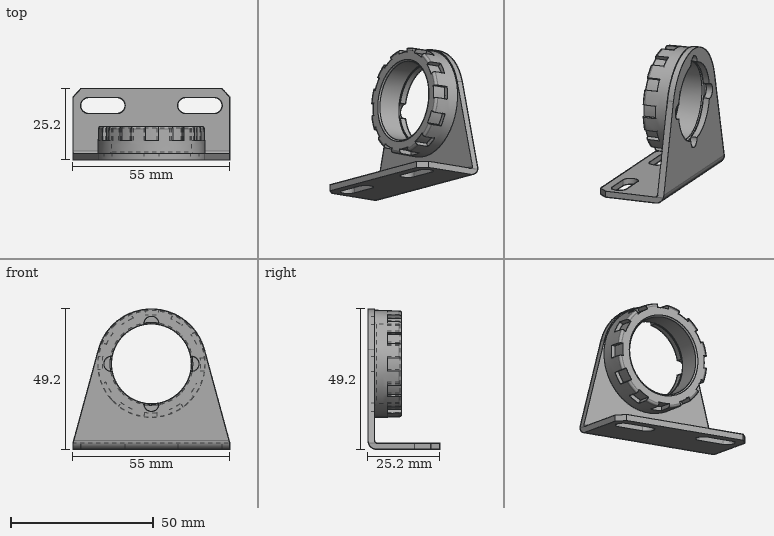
import cadquery as cq
import math

WIDTH = 55.0
DEPTH = 25.2
HEIGHT = 49.2
UPRIGHT_THICKNESS = 2.35
FOOT_THICKNESS = 2.2
BEND_OUTER_RADIUS = 3.1
BEND_INNER_RADIUS = 0.9
CROWN_RADIUS = 19.25
HOLE_RADIUS = 14.0
NOTCH_RADIUS = 2.65
NOTCH_COUNT = 4
SLOT_LENGTH = 15.5
SLOT_WIDTH = 5.5
SLOT_SPACING = 34.0
SLOT_Y = 19.15
CORNER_CUT_X = 2.85
CORNER_CUT_Y = 3.15

RING_END_Y = 11.8
RING_BASE_RADIUS = 18.8
RING_END_RADIUS = 18.65
RING_BORE_RADIUS = 13.95
BORE_CHAMFER = 0.55
RING_FILLET = 0.9
GAP_COUNT = 12
GAP_WIDTH = 4.5
GAP_FLOOR_RADIUS = 17.2
GAP_START_Y = 6.8
GAP_TURN = 0.8

HALF_WIDTH = WIDTH / 2
AXIS_Z = HEIGHT - CROWN_RADIUS


def cylinder(radius, start_y, end_y, x=0.0, z=AXIS_Z):
    """Cylinder along +Y from start_y to end_y, centred on (x, z)."""
    return cq.Workplane(cq.Solid.makeCylinder(
        radius, end_y - start_y, cq.Vector(x, start_y, z), cq.Vector(0, 1, 0)))


def bent_sheet():
    """L-shaped sheet across the full width, rounded inside and outside the bend."""
    sheet = (
        cq.Workplane("YZ")
        .polyline([
            (0, 0),
            (DEPTH, 0),
            (DEPTH, FOOT_THICKNESS),
            (UPRIGHT_THICKNESS, FOOT_THICKNESS),
            (UPRIGHT_THICKNESS, HEIGHT),
            (0, HEIGHT),
        ])
        .close()
        .extrude(HALF_WIDTH, both=True)
    )
    outer_corner = cq.selectors.NearestToPointSelector((0, 0, 0))
    inner_corner = cq.selectors.NearestToPointSelector((0, UPRIGHT_THICKNESS, FOOT_THICKNESS))
    sheet = sheet.edges("|X").edges(inner_corner).fillet(BEND_INNER_RADIUS)
    return sheet.edges("|X").edges(outer_corner).fillet(BEND_OUTER_RADIUS)


def front_outline():
    """Outline in XZ: foot-wide base, then straight sides tangent to the round crown."""
    rise = AXIS_Z - FOOT_THICKNESS
    corner_distance = math.hypot(HALF_WIDTH, rise)
    tangent_angle = math.acos(CROWN_RADIUS / corner_distance) - math.atan2(rise, HALF_WIDTH)
    tangent_x = CROWN_RADIUS * math.cos(tangent_angle)
    tangent_z = AXIS_Z + CROWN_RADIUS * math.sin(tangent_angle)
    return (
        cq.Workplane("XZ")
        .moveTo(-HALF_WIDTH, 0)
        .lineTo(HALF_WIDTH, 0)
        .lineTo(HALF_WIDTH, FOOT_THICKNESS)
        .lineTo(tangent_x, tangent_z)
        .threePointArc((0, HEIGHT), (-tangent_x, tangent_z))
        .lineTo(-HALF_WIDTH, FOOT_THICKNESS)
        .close()
        .extrude(-DEPTH)
    )


def foot_slots():
    return (
        cq.Workplane("XY")
        .pushPoints([(-SLOT_SPACING / 2, SLOT_Y), (SLOT_SPACING / 2, SLOT_Y)])
        .slot2D(SLOT_LENGTH, SLOT_WIDTH)
        .extrude(FOOT_THICKNESS)
    )


def foot_corner_cut(side):
    """Triangular prism that removes one back corner of the foot; side is -1 or 1."""
    return (
        cq.Workplane("XY")
        .polyline([
            (side * HALF_WIDTH, DEPTH),
            (side * (HALF_WIDTH - CORNER_CUT_X), DEPTH),
            (side * HALF_WIDTH, DEPTH - CORNER_CUT_Y),
        ])
        .close()
        .extrude(FOOT_THICKNESS)
    )


def make_bracket():
    bracket = bent_sheet().intersect(front_outline())
    bracket = bracket.cut(cylinder(HOLE_RADIUS, 0, UPRIGHT_THICKNESS))
    for index in range(NOTCH_COUNT):
        angle = 2 * math.pi * index / NOTCH_COUNT
        notch_x = HOLE_RADIUS * math.cos(angle)
        notch_z = AXIS_Z + HOLE_RADIUS * math.sin(angle)
        bracket = bracket.cut(cylinder(NOTCH_RADIUS, 0, UPRIGHT_THICKNESS, notch_x, notch_z))
    bracket = bracket.cut(foot_slots())
    for side in (-1, 1):
        bracket = bracket.cut(foot_corner_cut(side))
    return bracket


def ring_blank():
    """Tapered collar revolved about the Y axis, then moved up to the hole axis."""
    blank = (
        cq.Workplane("XY")
        .polyline([
            (RING_BORE_RADIUS + BORE_CHAMFER, UPRIGHT_THICKNESS),
            (RING_BASE_RADIUS, UPRIGHT_THICKNESS),
            (RING_END_RADIUS, RING_END_Y),
            (RING_BORE_RADIUS + BORE_CHAMFER, RING_END_Y),
            (RING_BORE_RADIUS, RING_END_Y - BORE_CHAMFER),
            (RING_BORE_RADIUS, UPRIGHT_THICKNESS + BORE_CHAMFER),
        ])
        .close()
        .revolve(360, (0, 0, 0), (0, 1, 0))
    )
    outer_rim = cq.selectors.RadiusNthSelector(-1)
    blank = blank.faces(">Y").edges(outer_rim).fillet(RING_FILLET)
    return blank.translate((0, 0, AXIS_Z))


def tooth_gap():
    """Parallel-sided gap at the top of the ring with a round floor."""
    gap_length = RING_END_Y - GAP_START_Y
    block = (
        cq.Workplane("XY")
        .box(GAP_WIDTH, gap_length, RING_BASE_RADIUS, centered=(True, False, False))
        .translate((0, GAP_START_Y, AXIS_Z))
    )
    return block.cut(cylinder(GAP_FLOOR_RADIUS, GAP_START_Y, RING_END_Y))


def make_ring():
    ring = ring_blank()
    gap = tooth_gap()
    for index in range(GAP_COUNT):
        turn = GAP_TURN + 360 * index / GAP_COUNT
        ring = ring.cut(gap.rotate((0, 0, AXIS_Z), (0, 1, AXIS_Z), turn))
    return ring


bracket = make_bracket()
ring = make_ring()

result = cq.Compound.makeCompound([bracket.solids().val(), ring.solids().val()])